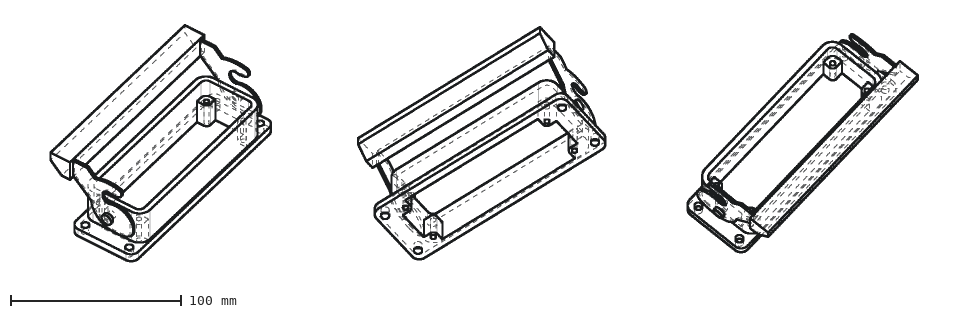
import cadquery as cq
import math


flange_width = 45.1
flange_length = 141.0
flange_thickness = 5.6
flange_corner_radius = 5.2
flange_hole_diameter = 4.8
flange_hole_spacing_x = 31.9
flange_hole_spacing_y = 130.3

housing_width = 43.4
housing_length = 120.1
housing_top = 29.3
housing_corner_radius = 7.8
side_wall = 3.8
end_wall = 3.5
cavity_width = housing_width - 2 * side_wall
cavity_length = housing_length - 2 * end_wall
cavity_corner_radius = housing_corner_radius - side_wall

boss_size = 7.8
boss_top = 16.9
boss_corner_radius = 2.8
boss_hole_diameter = 3.1
boss_hole_spacing_x = 26.8
boss_hole_spacing_y = 104.0

pivot_z = 19.5
pin_diameter = 4.8
pin_head_diameter = 6.9
pin_head_end = 66.1

overall_width = 62.5
overall_height = 52.3
bar_size = 14.1
bar_length = 134.0
bar_chamfer = 8.0
bar_left = flange_width / 2 - overall_width
bar_right = bar_left + bar_size

plate_thickness = 1.5
plate_outer_face = 64.0
arm_top = 51.3
arm_top_end = -15.7
arm_bottom = 39.3
arm_root_x = bar_right - 1.4
finger_radius = 27.8
finger_start_x = -9.9
finger_end_x = 7.6
finger_tip_x = 9.5
finger_tip_z = 43.5
finger_underside_end = (7.9, 40.6)
finger_underside_mid = (5.1, 39.8)
slot_center_z = 35.7
slot_radius = 4.5
slot_upper_angle = 58
slot_lower_angle = -86
cam_center_x = 5.4
cam_radius = 12.5
cam_middle_angle = 30
heel_radius = 18.0
heel_bottom = 10.0
heel_center_z = heel_bottom + heel_radius
heel_start_z = 26.5
cam_corner_radius = 2.8


def rounded_block(width, length, height, corner_radius):
    """Upright block on Z = 0 with rounded vertical edges."""
    block = cq.Workplane("XY").box(width, length, height, centered=(True, True, False))
    return block.edges("|Z").fillet(corner_radius)


def corner_holes(spacing_x, spacing_y, diameter, height):
    """Four upright cylinders at the corners of a rectangle, used as cutters."""
    holes = cq.Workplane("XY").rect(spacing_x, spacing_y, forConstruction=True).vertices()
    return holes.circle(diameter / 2).extrude(height)


def circle_point(center, radius, angle):
    """Point on a circle at an angle in degrees."""
    turn = math.radians(angle)
    return (center[0] + radius * math.cos(turn), center[1] + radius * math.sin(turn))


def upper_point_at_x(center, radius, x):
    """Point on the upper half of a circle at the given X."""
    return (x, center[1] + math.sqrt(radius**2 - (x - center[0]) ** 2))


def housing():
    """Flange, hollow housing and corner bosses with their holes."""
    flange = rounded_block(flange_width, flange_length, flange_thickness, flange_corner_radius)
    shell = rounded_block(housing_width, housing_length, housing_top, housing_corner_radius)
    cavity = rounded_block(cavity_width, cavity_length, housing_top, cavity_corner_radius)

    cavity_filling = rounded_block(cavity_width, cavity_length, boss_top, cavity_corner_radius)
    corner_block = rounded_block(2 * boss_size, 2 * boss_size, boss_top, boss_corner_radius)

    body = flange.union(shell).cut(cavity)
    for side_x in (-1, 1):
        for side_y in (-1, 1):
            corner = (side_x * cavity_width / 2, side_y * cavity_length / 2, 0)
            body = body.union(corner_block.translate(corner).intersect(cavity_filling))

    flange_holes = corner_holes(
        flange_hole_spacing_x, flange_hole_spacing_y, flange_hole_diameter, flange_thickness
    )
    boss_holes = corner_holes(
        boss_hole_spacing_x, boss_hole_spacing_y, boss_hole_diameter, boss_top
    )
    return body.cut(flange_holes).cut(boss_holes)


def pivot_pin():
    """Stepped pin on the -Y end wall: a shank up to the plate and a wider head."""
    wall_middle = (housing_length - end_wall) / 2
    shank = cq.Workplane("XZ", origin=(0, -wall_middle, pivot_z)).circle(pin_diameter / 2)
    shank = shank.extrude(pin_head_end - wall_middle)
    head = cq.Workplane("XZ", origin=(0, -plate_outer_face, pivot_z)).circle(pin_head_diameter / 2)
    return shank.union(head.extrude(pin_head_end - plate_outer_face))


def lever_plate():
    """Flat plate at the -Y end: arm, hooked finger, open slot and rounded cam."""
    pivot = (0, pivot_z)
    slot_center = (0, slot_center_z)
    cam_center = (cam_center_x, pivot_z)

    finger_start = upper_point_at_x(pivot, finger_radius, finger_start_x)
    finger_end = upper_point_at_x(pivot, finger_radius, finger_end_x)
    slot_start = circle_point(slot_center, slot_radius, slot_upper_angle)
    slot_end = circle_point(slot_center, slot_radius, slot_lower_angle)
    cam_start = upper_point_at_x(cam_center, cam_radius, slot_end[0])
    heel_rise = heel_start_z - heel_center_z
    heel_start = (cam_center_x - math.sqrt(heel_radius**2 - heel_rise**2), heel_start_z)

    center_gap = heel_center_z - pivot_z
    cross_below_pivot = (heel_radius**2 - cam_radius**2 - center_gap**2) / (2 * center_gap)
    cam_end_x = cam_center_x + math.sqrt(cam_radius**2 - cross_below_pivot**2)
    cam_end = (cam_end_x, pivot_z - cross_below_pivot)

    outline = (
        cq.Workplane("XZ", origin=(0, plate_thickness - plate_outer_face, 0))
        .moveTo(arm_root_x, arm_top)
        .lineTo(arm_top_end, arm_top)
        .lineTo(*finger_start)
        .threePointArc((0, pivot_z + finger_radius), finger_end)
        .threePointArc((finger_tip_x, finger_tip_z), finger_underside_end)
        .threePointArc(finger_underside_mid, slot_start)
        .threePointArc((-slot_radius, slot_center_z), slot_end)
        .lineTo(*cam_start)
        .threePointArc(circle_point(cam_center, cam_radius, cam_middle_angle), cam_end)
        .threePointArc((cam_center_x, heel_bottom), heel_start)
        .lineTo(bar_right, arm_bottom)
        .lineTo(arm_root_x, arm_bottom)
        .close()
    )
    plate = outline.extrude(plate_thickness)
    cam_corner = cq.selectors.NearestToPointSelector((cam_end[0], -plate_outer_face, cam_end[1]))
    return plate.edges("|Y").edges(cam_corner).fillet(cam_corner_radius)


def handle_bar():
    """Square bar with its lower outer edge cut off at 45 degrees."""
    bar_center = (bar_left + bar_size / 2, 0, overall_height - bar_size / 2)
    bar = cq.Workplane("XY", origin=bar_center).box(bar_size, bar_length, bar_size)
    return bar.edges("<X and <Z").chamfer(bar_chamfer)


result = housing().union(handle_bar())
for end_part in (pivot_pin(), lever_plate()):
    result = result.union(end_part).union(end_part.mirror("XZ"))